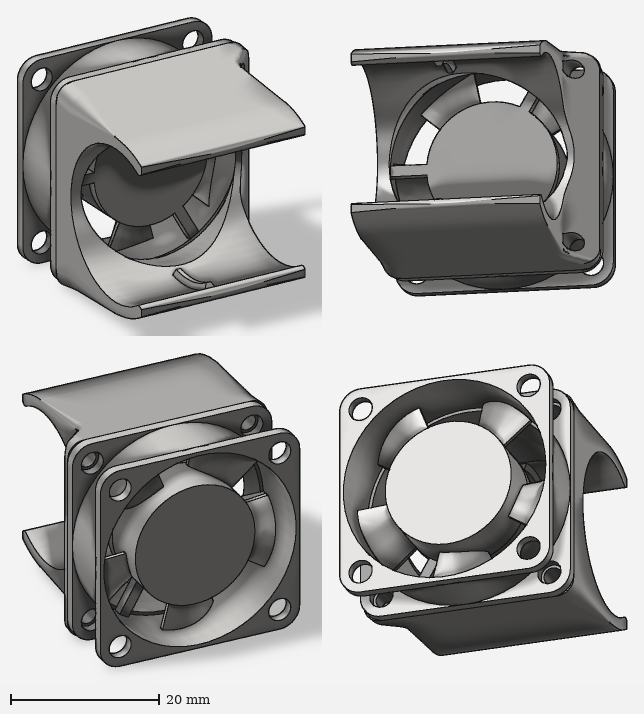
import cadquery as cq
import math

FAN_SIZE = 30.0
HALF = FAN_SIZE / 2
FAN_DEPTH = 10.0
FLANGE_THICKNESS = 1.45
STRUT_FRONT = FAN_DEPTH - FLANGE_THICKNESS
CORNER_RADIUS = 3.0
BARREL_BORE_RADIUS = 14.47
SCREW_OFFSET = 12.0
FAN_SCREW_RADIUS = 1.65
STRUT_WIDTH = 1.5
STRUT_EMBED = 0.3
STRUT_COUNT = 3

HUB_RADIUS = 9.0
HUB_FRONT = 1.5
BLADE_COUNT = 5
BLADE_TIP_RADIUS = 14.0
BLADE_HALF_SPAN = math.radians(19.25)
BLADE_FIRST_ANGLE = -13.2
BLADE_LEAD_X = 4.4
BLADE_SAG_X = 4.65
BLADE_TRAIL_X = 7.5
BLADE_THICKNESS = 0.6
BLADE_EMBED = 1.8

BORE_RADIUS = 11.3
BORE_X = 25.1
ARM_SLOPE = 0.131
ARM_BEND_X = 26.6
ARM_BACK_MID = (29.3, 12.25)
TIP_RADIUS = 0.85
TIP_ANGLE = math.radians(59.6)
TIP_BACK_ANGLE = math.radians(63.0)
SIDE_Y = 11.0
SIDE_START_X = 10.9
SIDE_FILLET = 2.2
SIDE_SLANT = 45.0
TIP_BULGE_Y = -3.24
TIP_BULGE = 0.2
DUCT_SCREW_RADIUS = 1.25
DUCT_SCREW_DEPTH = 6.0

CORNER_ROUND = 2.45
CORNER_ROUND_END_X = 13.5
CORNER_FADE_X = 25.0
SIDE_ROUND = 0.85
LAST_ROUND = 0.1
BEND_STEPS = 3
CUT_MARGIN = 1.0

PASSAGE_SECTIONS = [
    (FAN_DEPTH, 0.0, 14.0, 14.0),
    (11.5, -0.3, 13.5, 13.4),
    (14.0, -1.2, 12.15, 12.0),
    (21.0, -1.7, 11.7, 10.4),
]

RIB_Y = -3.24
RIB_CREST_RADIUS = 10.5
RIB_BASE_WIDTH = 1.6
RIB_CREST_WIDTH = 0.7
RIB_START_ANGLE = -15.0
RIB_END_ANGLE = 28.5
RIB_DEPTH_IN_ARM = 0.3


def disc_plane(x):
    """Plane across the fan axis, facing the open side of the fan."""
    return cq.Workplane(cq.Plane(origin=(x, 0, 0), xDir=(0, -1, 0), normal=(-1, 0, 0)))


def cylinder(radius, x_start, x_end):
    return disc_plane(x_end).circle(radius).extrude(x_end - x_start)


def screw_pattern(radius, x_start, x_end):
    """Four cylinders on the square screw pattern shared by the fan and the duct."""
    pitch = 2 * SCREW_OFFSET
    corners = disc_plane(x_end).rect(pitch, pitch, forConstruction=True).vertices()
    return corners.circle(radius).extrude(x_end - x_start)


def fan_flange(x_start):
    plate = disc_plane(x_start + FLANGE_THICKNESS).rect(FAN_SIZE, FAN_SIZE).extrude(FLANGE_THICKNESS)
    plate = plate.edges("|X").fillet(CORNER_RADIUS)
    return plate.cut(screw_pattern(FAN_SCREW_RADIUS, x_start, x_start + FLANGE_THICKNESS))


def make_fan_frame():
    frame = cylinder(HALF, 0, FAN_DEPTH).union(fan_flange(0)).union(fan_flange(STRUT_FRONT))
    frame = frame.cut(cylinder(BARREL_BORE_RADIUS, 0, FAN_DEPTH))
    frame = frame.union(cylinder(HUB_RADIUS, STRUT_FRONT, FAN_DEPTH))
    strut_inner = HUB_RADIUS - STRUT_EMBED
    strut_length = BARREL_BORE_RADIUS + STRUT_EMBED - strut_inner
    for index in range(STRUT_COUNT):
        strut = (
            disc_plane(FAN_DEPTH)
            .center(strut_inner + strut_length / 2, 0)
            .rect(strut_length, STRUT_WIDTH)
            .extrude(FLANGE_THICKNESS)
            .rotate((0, 0, 0), (-1, 0, 0), index * 360 / STRUT_COUNT)
        )
        frame = frame.union(strut)
    return frame


def blade_section(blade, radius):
    """Curved blade outline on a plane at the given distance from the fan axis."""
    half_width = radius * math.tan(BLADE_HALF_SPAN)
    back = BLADE_THICKNESS
    return (
        blade.moveTo(BLADE_LEAD_X, -half_width)
        .threePointArc((BLADE_SAG_X, 0), (BLADE_TRAIL_X, half_width))
        .lineTo(BLADE_TRAIL_X + back, half_width)
        .threePointArc((BLADE_SAG_X + back, 0), (BLADE_LEAD_X + back, -half_width))
        .close()
    )


def make_impeller():
    impeller = cylinder(HUB_RADIUS, HUB_FRONT, STRUT_FRONT)
    root = HUB_RADIUS - BLADE_EMBED
    tip = BLADE_TIP_RADIUS + CUT_MARGIN
    blade = blade_section(cq.Workplane("XY", origin=(0, 0, root)), root)
    blade = blade_section(blade.workplane(offset=tip - root, origin=(0, 0, 0)), tip).loft(ruled=True)
    blade = blade.intersect(cylinder(BLADE_TIP_RADIUS, 0, FAN_DEPTH))
    for index in range(BLADE_COUNT):
        angle = BLADE_FIRST_ANGLE + index * 360 / BLADE_COUNT
        impeller = impeller.union(blade.rotate((0, 0, 0), (-1, 0, 0), angle - 90))
    return impeller


def arm_height(x):
    """Height of the sloping outer face of the upper arm."""
    return HALF - ARM_SLOPE * (x - FAN_DEPTH)


TIP_DISTANCE = BORE_RADIUS + TIP_RADIUS
TIP_X = BORE_X + TIP_DISTANCE * math.cos(TIP_ANGLE)
TIP_Z = TIP_DISTANCE * math.sin(TIP_ANGLE)
TIP_END_X = TIP_X + TIP_RADIUS


def duct_side_profile():
    back_x = TIP_X + TIP_RADIUS * math.cos(TIP_BACK_ANGLE)
    back_z = TIP_Z + TIP_RADIUS * math.sin(TIP_BACK_ANGLE)
    inner_x = BORE_X + BORE_RADIUS * math.cos(TIP_ANGLE)
    inner_z = BORE_RADIUS * math.sin(TIP_ANGLE)
    mid_x, mid_z = ARM_BACK_MID
    return (
        cq.Workplane("XZ", origin=(0, HALF, 0))
        .moveTo(FAN_DEPTH, -HALF)
        .lineTo(FAN_DEPTH, HALF)
        .lineTo(ARM_BEND_X, arm_height(ARM_BEND_X))
        .threePointArc((mid_x, mid_z), (back_x, back_z))
        .threePointArc((TIP_END_X, TIP_Z), (inner_x, inner_z))
        .threePointArc((BORE_X - BORE_RADIUS, 0), (inner_x, -inner_z))
        .threePointArc((TIP_END_X, -TIP_Z), (back_x, -back_z))
        .threePointArc((mid_x, -mid_z), (ARM_BEND_X, -arm_height(ARM_BEND_X)))
        .close()
        .extrude(FAN_SIZE)
    )


SIDE_BEND_X = SIDE_START_X + (HALF - SIDE_Y) / math.tan(math.radians(SIDE_SLANT))
BEND_TANGENT = SIDE_FILLET * math.tan(math.radians(SIDE_SLANT / 2))
BEND_CENTRE = (SIDE_BEND_X + BEND_TANGENT, SIDE_Y + SIDE_FILLET)


def bend_point(degrees):
    """Point on the concave bend; SIDE_SLANT at the slanted side, 0 at the straight side."""
    angle = math.radians(degrees)
    x = BEND_CENTRE[0] - SIDE_FILLET * math.sin(angle)
    y = BEND_CENTRE[1] - SIDE_FILLET * math.cos(angle)
    return x, y


def duct_plan():
    end_x = TIP_END_X - TIP_BULGE
    return (
        cq.Workplane("XY", origin=(0, 0, -HALF))
        .moveTo(FAN_DEPTH, -HALF)
        .lineTo(FAN_DEPTH, HALF)
        .lineTo(SIDE_START_X, HALF)
        .lineTo(*bend_point(SIDE_SLANT))
        .threePointArc(bend_point(SIDE_SLANT / 2), bend_point(0))
        .lineTo(end_x, SIDE_Y)
        .threePointArc((TIP_END_X, TIP_BULGE_Y), (end_x, -HALF))
        .close()
        .extrude(FAN_SIZE)
    )


def rounding_section(x, y, direction, radius):
    """Cut-away outline at one point of a top edge; direction points outward, in degrees from +X."""
    out_x = math.cos(math.radians(direction))
    out_y = math.sin(math.radians(direction))

    def point(outward, drop):
        px = x + outward * out_x
        return cq.Vector(px, y + outward * out_y, arm_height(px) - drop)

    arc_depth = radius * (1 - math.sqrt(0.5))
    on_top = point(-radius, 0)
    on_side = point(0, radius)
    corners = [
        on_side,
        point(CUT_MARGIN, radius),
        point(CUT_MARGIN, -CUT_MARGIN),
        point(-radius, -CUT_MARGIN),
        on_top,
    ]
    edges = [cq.Edge.makeLine(start, end) for start, end in zip(corners, corners[1:])]
    edges.append(cq.Edge.makeThreePointArc(on_top, point(-arc_depth, arc_depth), on_side))
    return cq.Wire.assembleEdges(edges)


def rounding_cutter(stations):
    sections = [rounding_section(*station) for station in stations]
    return cq.Workplane(cq.Solid.makeLoft(sections, True))


def round_duct_edges(duct):
    front_edge = [
        (FAN_DEPTH, -HALF, -90, CORNER_ROUND),
        (CORNER_ROUND_END_X, -HALF, -90, CORNER_ROUND),
        (CORNER_FADE_X, -HALF, -90, LAST_ROUND),
    ]
    flange_corner = [(x, HALF, 90, CORNER_ROUND) for x in (FAN_DEPTH, CORNER_ROUND_END_X)]
    slant_start_y = HALF + CUT_MARGIN * math.tan(math.radians(SIDE_SLANT))
    side_edge = [(SIDE_START_X - CUT_MARGIN, slant_start_y, 90 - SIDE_SLANT, SIDE_ROUND)]
    for step in range(BEND_STEPS + 1):
        bend_angle = SIDE_SLANT * (1 - step / BEND_STEPS)
        side_edge.append((*bend_point(bend_angle), 90 - bend_angle, SIDE_ROUND))
    side_edge.append((ARM_BEND_X, SIDE_Y, 90, LAST_ROUND))
    for stations in (front_edge, flange_corner, side_edge):
        cutter = rounding_cutter(stations)
        duct = duct.cut(cutter).cut(cutter.mirror("XY"))
    return duct


def air_passage():
    sections = []
    for x, centre_y, half_width, half_height in PASSAGE_SECTIONS:
        ellipse = cq.Wire.makeEllipse(
            half_width, half_height, cq.Vector(x, centre_y, 0), cq.Vector(1, 0, 0), cq.Vector(0, 1, 0)
        )
        sections.append(ellipse)
    return cq.Workplane(cq.Solid.makeLoft(sections, True))


def snap_rib():
    """Rib of the upper arm, as a ring sector around the bore axis."""
    base_radius = BORE_RADIUS + RIB_DEPTH_IN_ARM
    ring = (
        cq.Workplane("YZ", origin=(BORE_X, 0, 0))
        .moveTo(RIB_Y - RIB_BASE_WIDTH / 2, base_radius)
        .lineTo(RIB_Y - RIB_BASE_WIDTH / 2, BORE_RADIUS)
        .lineTo(RIB_Y - RIB_CREST_WIDTH / 2, RIB_CREST_RADIUS)
        .lineTo(RIB_Y + RIB_CREST_WIDTH / 2, RIB_CREST_RADIUS)
        .lineTo(RIB_Y + RIB_BASE_WIDTH / 2, BORE_RADIUS)
        .lineTo(RIB_Y + RIB_BASE_WIDTH / 2, base_radius)
        .close()
        .revolve(RIB_END_ANGLE - RIB_START_ANGLE, (0, 0, 0), (1, 0, 0))
    )
    return ring.rotate((BORE_X, 0, 0), (BORE_X, 1, 0), RIB_START_ANGLE)


def make_duct():
    duct = round_duct_edges(duct_side_profile().intersect(duct_plan()))
    duct = duct.cut(air_passage())
    duct = duct.cut(screw_pattern(DUCT_SCREW_RADIUS, FAN_DEPTH, FAN_DEPTH + DUCT_SCREW_DEPTH))
    rib = snap_rib()
    return duct.union(rib).union(rib.mirror("XY"))


fan_frame = make_fan_frame()
impeller = make_impeller()
duct = make_duct()
result = cq.Compound.makeCompound([fan_frame.solids().val(), impeller.solids().val(), duct.solids().val()])